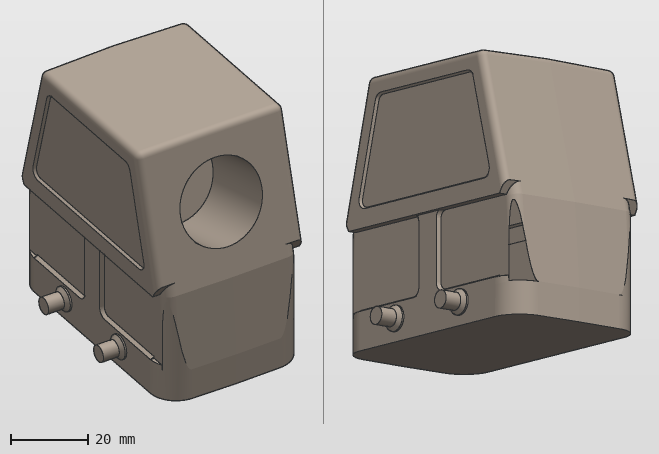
import cadquery as cq
import math

LENGTH = 72.6
HEIGHT = 72.0
HOOD_WIDTH = 45.0
BASE_WIDTH = 42.7
DRAFT_ANGLE = 1.0

FOOT_HEIGHT = 9.0
SHOULDER_HEIGHT = 32.0
SHOULDER_HALF_LENGTH = 34.5
SLOPE_ANGLE = 15.0
SLOPE_RUN = (HEIGHT - SHOULDER_HEIGHT) * math.tan(math.radians(SLOPE_ANGLE))
TOP_HALF_LENGTH = SHOULDER_HALF_LENGTH - SLOPE_RUN

HOOD_EDGE_RADIUS = 2.0
BASE_CORNER_RADIUS = 8.0
CORE_CORNER_RADIUS = 3.1

CORE_WIDTH = 40.4
RECESS_DEPTH = (BASE_WIDTH - CORE_WIDTH) / 2
LEDGE_HEIGHT = 10.5
RIB_WIDTH = 7.2
RECESS_CORNER_RADIUS = 2.5
RECESS_WALL_RUN = 0.55
CORE_TOP = SHOULDER_HEIGHT + 10.0

RELIEF_INNER_X = 31.2
RELIEF_RISE = 4.0
RELIEF_RUN = 2.3

PANEL_BOTTOM = 37.0
PANEL_TOP = 66.8
PANEL_BOTTOM_LENGTH = 55.4
PANEL_TOP_LENGTH = 39.4
PANEL_CORNER_RADIUS = 2.5
PANEL_DEPTH = 0.8
PANEL_WALL_TAPER = 30.0

PIN_X = 13.3
PIN_Z = 6.2
PIN_DIAMETER = 4.8
PIN_SPAN = 55.6
COLLAR_DIAMETER = 7.0
COLLAR_STRAIGHT = 0.5
COLLAR_CONE = 1.1

ENTRY_DIAMETER = 25.0
ENTRY_HEIGHT = 52.4
ENTRY_DEPTH = 25.0


def end_outline():
    """Outline in XZ, carried below Z = 0 so that the draft and rounding leave the foot full height."""
    half = LENGTH / 2
    below = -2 * BASE_CORNER_RADIUS
    right = [
        (half, below),
        (half, FOOT_HEIGHT),
        (SHOULDER_HALF_LENGTH, SHOULDER_HEIGHT),
        (TOP_HALF_LENGTH, HEIGHT),
    ]
    left = [(-x, z) for x, z in reversed(right)]
    return right + left


def slab(bottom, top):
    """Block between two levels, larger than the hood in plan."""
    return cq.Workplane("XY").workplane(offset=bottom).rect(2 * LENGTH, 2 * LENGTH).extrude(top - bottom)


def drafted_half(width):
    """Front half of the body: the end outline drafted from the parting plane to the side face."""
    return cq.Workplane("XZ").polyline(end_outline()).close().extrude(width / 2, taper=DRAFT_ANGLE)


def with_rear_half(front_half):
    return front_half.union(front_half.mirror("XZ"))


def foot():
    """Base below the recesses; only its lowest stretch is vertical."""
    half = drafted_half(BASE_WIDTH).faces("<Y").edges().fillet(BASE_CORNER_RADIUS)
    return with_rear_half(half).intersect(slab(0, LEDGE_HEIGHT))


def foot_outline_prism():
    """The foot outline carried straight up; it trims the corners of the core."""
    bottom = foot().faces("<Z").val()
    return cq.Workplane(cq.Solid.extrudeLinear(bottom.outerWire(), [], cq.Vector(0, 0, CORE_TOP)))


def corner_relief(side):
    """Wedge that lifts the hood underside towards one end."""
    reach = LENGTH / 2
    rise = (reach - RELIEF_INNER_X) * RELIEF_RISE / RELIEF_RUN
    points = [
        (side * RELIEF_INNER_X, SHOULDER_HEIGHT),
        (side * reach, SHOULDER_HEIGHT),
        (side * reach, SHOULDER_HEIGHT + rise),
    ]
    return cq.Workplane("XZ").polyline(points).close().extrude(HOOD_WIDTH, both=True)


def hood():
    """Upper hood with rounded edges, overhanging the recesses."""
    half = drafted_half(HOOD_WIDTH).intersect(slab(SHOULDER_HEIGHT, 2 * HEIGHT))
    side_edges = half.faces("<Y").edges("not <Z")
    top_edges = half.faces(">Z").edges("not >Y")
    half = half.newObject(side_edges.vals() + top_edges.vals()).fillet(HOOD_EDGE_RADIUS)
    body = with_rear_half(half)
    for side in (-1, 1):
        body = body.cut(corner_relief(side))
    return body


def core():
    """Body behind the recesses; its rounded ends run into the base corners."""
    half = drafted_half(CORE_WIDTH).faces("<Y").edges().fillet(CORE_CORNER_RADIUS)
    return with_rear_half(half).intersect(slab(FOOT_HEIGHT, CORE_TOP)).intersect(foot_outline_prism())


def recess(x_side, y_side):
    """Recess running from the rib past one end, with rounded corners next to the rib."""
    height = SHOULDER_HEIGHT + RECESS_WALL_RUN - LEDGE_HEIGHT
    wall_taper = math.degrees(math.atan(RECESS_WALL_RUN / RECESS_DEPTH))
    outline = cq.Sketch().rect(LENGTH, height).vertices().fillet(RECESS_CORNER_RADIUS)
    return (
        cq.Workplane("XZ", origin=(0, y_side * BASE_WIDTH / 2, 0))
        .center(x_side * (RIB_WIDTH + LENGTH) / 2, LEDGE_HEIGHT + height / 2)
        .placeSketch(outline)
        .extrude(y_side * RECESS_DEPTH, taper=wall_taper)
    )


def recess_frame():
    """Middle ribs and sloping recess walls left between the foot and the hood."""
    height = SHOULDER_HEIGHT - LEDGE_HEIGHT
    frame = (
        cq.Workplane("XY", origin=(0, 0, LEDGE_HEIGHT))
        .rect(LENGTH - 2 * BASE_CORNER_RADIUS, BASE_WIDTH)
        .extrude(height)
    )
    for x_side in (-1, 1):
        for y_side in (-1, 1):
            frame = frame.cut(recess(x_side, y_side))
    return frame


def label_panel():
    """Cutters for the sunken panels on both sides, with walls leaning inward."""
    points = [
        (-PANEL_BOTTOM_LENGTH / 2, PANEL_BOTTOM),
        (PANEL_BOTTOM_LENGTH / 2, PANEL_BOTTOM),
        (PANEL_TOP_LENGTH / 2, PANEL_TOP),
        (-PANEL_TOP_LENGTH / 2, PANEL_TOP),
    ]
    outline = cq.Sketch().polygon(points + points[:1]).vertices().fillet(PANEL_CORNER_RADIUS)
    front = (
        cq.Workplane("XZ", origin=(0, -HOOD_WIDTH / 2, 0))
        .placeSketch(outline)
        .extrude(-PANEL_DEPTH, taper=PANEL_WALL_TAPER)
    )
    return with_rear_half(front)


def locking_pin(x):
    """Pin through both sides with a coned collar at each side face."""
    collar_y = BASE_WIDTH / 2 + COLLAR_STRAIGHT
    half_profile = [
        (0, 0),
        (COLLAR_DIAMETER / 2, 0),
        (COLLAR_DIAMETER / 2, collar_y),
        (PIN_DIAMETER / 2, collar_y + COLLAR_CONE),
        (PIN_DIAMETER / 2, PIN_SPAN / 2),
        (0, PIN_SPAN / 2),
    ]
    half = cq.Workplane("XY").polyline(half_profile).close().revolve(360, (0, 0), (0, 1))
    return with_rear_half(half).translate((x, 0, PIN_Z))


def cable_entry():
    """Cutter for the blind round entry."""
    slope = math.radians(SLOPE_ANGLE)
    face_x = SHOULDER_HALF_LENGTH - (ENTRY_HEIGHT - SHOULDER_HEIGHT) * math.tan(slope)
    outward = cq.Vector(math.cos(slope), 0, math.sin(slope))
    clearance = 5.0
    start = cq.Vector(face_x, 0, ENTRY_HEIGHT) + outward * clearance
    return cq.Workplane(
        cq.Solid.makeCylinder(ENTRY_DIAMETER / 2, ENTRY_DEPTH + clearance, start, outward * -1)
    )


result = hood().union(core()).union(foot()).union(recess_frame())
result = result.cut(label_panel()).cut(cable_entry())
for pin_x in (-PIN_X, PIN_X):
    result = result.union(locking_pin(pin_x))